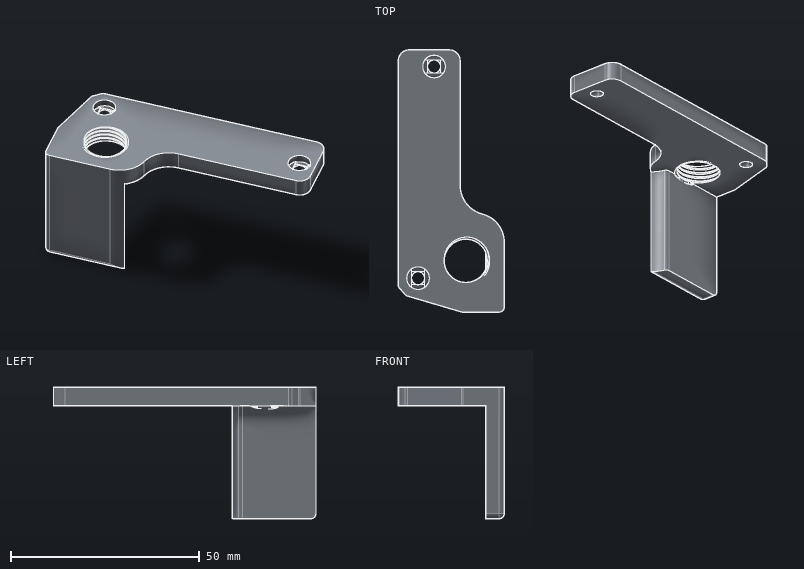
import cadquery as cq
import math

width = 28.2
length = 69.7
height = 35.0
thickness = 5.0

arm_width = 16.5
sweep_radius = 7.8
sweep_start_y = 18.5
clip_top_y = 6.8
clip_corner = (2.1, 4.4)
slope_end_x = 17.0
arm_end_radius = 3.0
corner_radius = 1.45

leg_depth = height - thickness
leg_inner_x = width - thickness
leg_inner_width = 19.6
leg_round_radius = 1.05
leg_hollow_radius = 8.0
leg_round_turn = 76.0
leg_hollow_turn = 32.0

bore_center = (18.0, 13.65)
bore_diameter = 11.4
thread_diameter = 12.7
thread_pitch = 1.25
thread_start_angle = 60.0
thread_overlap = 0.15

arm_screw = (9.55, 65.2)
corner_screw = (5.3, 9.05)
screw_diameter = 3.4
step_width = 3.5
recess_diameter = 6.0
recess_depth = 2.0
layer = 0.2


def make_outline(depth):
    """Extrude the plate outline, with rounded vertical corners, by depth.

    The corner above the leg stays sharp; it is rounded together with the leg.
    """
    half_x = (width - arm_width) / 2
    half_y = math.sqrt(sweep_radius**2 - (sweep_radius - half_x) ** 2)
    join = (width - half_x, sweep_start_y + half_y)
    half_turn = math.atan2(half_y, sweep_radius - half_x) / 2
    mid_x = sweep_radius * (1 - math.cos(half_turn))
    mid_y = sweep_radius * math.sin(half_turn)
    sweep_end_y = sweep_start_y + 2 * half_y
    body = (
        cq.Workplane("XY")
        .moveTo(slope_end_x, 0)
        .lineTo(width, 0)
        .lineTo(width, sweep_start_y)
        .threePointArc((width - mid_x, sweep_start_y + mid_y), join)
        .threePointArc((arm_width + mid_x, sweep_end_y - mid_y), (arm_width, sweep_end_y))
        .lineTo(arm_width, length)
        .lineTo(0, length)
        .lineTo(0, clip_top_y)
        .lineTo(*clip_corner)
        .close()
        .extrude(depth)
    )
    body = body.edges("|Z and >Y").fillet(arm_end_radius)
    corners = [(slope_end_x, 0), (0, clip_top_y), clip_corner]
    for x, y in corners:
        nearest = cq.selectors.NearestToPointSelector((x, y, depth / 2))
        body = body.edges(nearest).fillet(corner_radius)
    return body


def make_leg():
    """Leg under the +X side, with an S-shaped +Y edge."""
    round_center = (leg_inner_x + leg_round_radius, leg_inner_width)
    turn = math.radians(leg_round_turn)
    center_gap = leg_round_radius + leg_hollow_radius
    hollow_center = (
        round_center[0] - center_gap * math.cos(turn),
        round_center[1] + center_gap * math.sin(turn),
    )

    def round_point(degrees):
        angle = math.radians(degrees)
        return (
            round_center[0] - leg_round_radius * math.cos(angle),
            round_center[1] + leg_round_radius * math.sin(angle),
        )

    def hollow_point(degrees):
        angle = math.radians(degrees)
        return (
            hollow_center[0] + leg_hollow_radius * math.cos(angle),
            hollow_center[1] - leg_hollow_radius * math.sin(angle),
        )

    hollow_end = hollow_point(leg_round_turn - leg_hollow_turn)
    return (
        cq.Workplane("XY")
        .moveTo(leg_inner_x, 0)
        .lineTo(leg_inner_x, leg_inner_width)
        .threePointArc(round_point(leg_round_turn / 2), round_point(leg_round_turn))
        .threePointArc(hollow_point(leg_round_turn - leg_hollow_turn / 2), hollow_end)
        .lineTo(width, hollow_end[1])
        .lineTo(width, 0)
        .close()
        .extrude(-leg_depth)
    )


def make_body():
    """Plate and leg in one, rounded along the outer front upright and the foot."""
    body = make_outline(thickness).union(make_leg())
    edge_points = [
        (width, 0, thickness - height / 2),
        (width - thickness / 2, 0, -leg_depth),
        (width, leg_inner_width / 2, -leg_depth),
    ]
    edges = cq.Workplane("XY")
    for point in edge_points:
        edges = edges.add(body.edges(cq.selectors.NearestToPointSelector(point)))
    body = cq.Workplane(body.val().fillet(corner_radius, edges.vals()))
    return body.intersect(make_outline(height).translate((0, 0, -leg_depth)))


def make_thread_groove():
    """Helical cutter with sloping flanks, running past both faces of the plate."""
    bore_radius = bore_diameter / 2
    thread_radius = thread_diameter / 2
    root_half = thread_pitch / 16
    inner_radius = bore_radius - thread_overlap
    inner_half = root_half + (thread_radius - inner_radius) * math.tan(math.radians(30))
    helix_height = thickness + 2 * thread_pitch
    helix = cq.Wire.makeHelix(thread_pitch, helix_height, bore_radius)
    groove = (
        cq.Workplane("XZ")
        .polyline(
            [
                (inner_radius, -inner_half),
                (thread_radius, -root_half),
                (thread_radius, root_half),
                (inner_radius, inner_half),
            ]
        )
        .close()
        .sweep(cq.Workplane(obj=helix), isFrenet=True)
    )
    groove = groove.rotate((0, 0, 0), (0, 0, 1), thread_start_angle)
    top_offset = thickness + thread_pitch - helix_height
    return groove.translate((*bore_center, top_offset))


def make_screw_cutter(center, slot_angle):
    """Screw hole with its recess and the slot and square steps below it."""
    recess_floor = thickness - recess_depth
    shelf_width = (recess_diameter - step_width) / 2
    shelf_y = (step_width + shelf_width) / 2
    recess = cq.Workplane("XY").workplane(offset=-layer).circle(recess_diameter / 2)
    recess = recess.extrude(recess_depth + layer)
    shelves = (
        cq.Workplane("XY")
        .pushPoints([(0, -shelf_y), (0, shelf_y)])
        .rect(recess_diameter, shelf_width)
        .extrude(-layer)
    )
    slotted_recess = recess.cut(shelves)
    square = cq.Workplane("XY").rect(step_width, step_width).extrude(-2 * layer)
    hole = cq.Workplane("XY").circle(screw_diameter / 2).extrude(-recess_floor)
    cutter = slotted_recess.union(square).union(hole)
    cutter = cutter.rotate((0, 0, 0), (0, 0, 1), slot_angle)
    return cutter.translate((*center, recess_floor))


bore = cq.Workplane("XY").center(*bore_center).circle(bore_diameter / 2).extrude(thickness)

result = make_body().cut(bore)
result = result.cut(make_thread_groove())
result = result.cut(make_screw_cutter(arm_screw, 0))
result = result.cut(make_screw_cutter(corner_screw, 90))